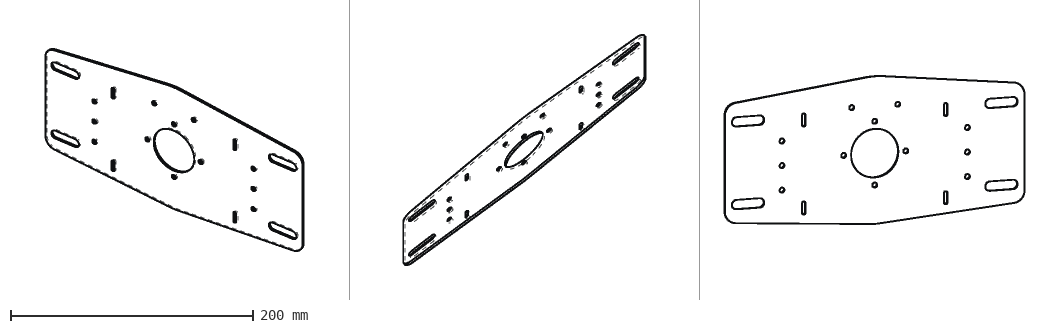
import cadquery as cq

LENGTH = 260.0
THICKNESS = 2.0
TOP_APEX_Z = 65.45
BOTTOM_APEX_Z = -60.0
CORNER_Z = 50.0
CORNER_RADIUS = 10.0
TOP_APEX_RADIUS = 60.0
BOTTOM_APEX_RADIUS = 40.0

SCREW_HOLE_DIAMETER = 4.2

BORE_DIAMETER = 41.1
RING_RADIUS = 27.0
RING_HOLE_COUNT = 4

UPPER_HOLE_X = 20.0
UPPER_HOLE_Z = 40.0

SIDE_CENTRE_Z = -4.75
SIDE_HOLE_X = 80.5
SIDE_HOLE_PITCH = 20.75
NARROW_SLOT_X = 61.6
NARROW_SLOT_SPACING = 74.5
NARROW_SLOT_LENGTH = 11.0
NARROW_SLOT_WIDTH = 3.0

END_SLOT_X = 110.0
END_SLOT_Z = 35.0
END_SLOT_LENGTH = 28.0
END_SLOT_WIDTH = 8.0


def back_plane():
    """Workplane on the +Y face: local x is X, local y is Z, normal is -Y."""
    return cq.Workplane("XZ", origin=(0, THICKNESS / 2, 0))


def apex_edge(apex_z):
    """Selector for the through-thickness edge at the apex on the X = 0 line."""
    return cq.selectors.NearestToPointSelector((0, 0, apex_z))


def make_plate():
    """Hexagonal plate with rounded end corners and softly rounded apexes."""
    half = LENGTH / 2
    outline = [
        (-half, -CORNER_Z),
        (0, BOTTOM_APEX_Z),
        (half, -CORNER_Z),
        (half, CORNER_Z),
        (0, TOP_APEX_Z),
        (-half, CORNER_Z),
    ]
    plate = back_plane().polyline(outline).close().extrude(THICKNESS)
    end_corners = plate.edges("|Y").edges("<X or >X")
    plate = end_corners.fillet(CORNER_RADIUS)
    plate = plate.edges(apex_edge(TOP_APEX_Z)).fillet(TOP_APEX_RADIUS)
    return plate.edges(apex_edge(BOTTOM_APEX_Z)).fillet(BOTTOM_APEX_RADIUS)


def hole_cutter(points, diameter):
    return back_plane().pushPoints(points).circle(diameter / 2).extrude(THICKNESS)


def slot_cutter(points, length, width, angle=0):
    return back_plane().pushPoints(points).slot2D(length, width, angle).extrude(THICKNESS)


def mirrored(x, heights):
    """Points at +x and -x for every height."""
    return [(side * x, z) for side in (-1, 1) for z in heights]


def bore_cutters():
    ring = (
        back_plane()
        .polarArray(RING_RADIUS, 0, 360, RING_HOLE_COUNT)
        .circle(SCREW_HOLE_DIAMETER / 2)
        .extrude(THICKNESS)
    )
    return [hole_cutter([(0, 0)], BORE_DIAMETER), ring]


def upper_hole_cutter():
    return hole_cutter(mirrored(UPPER_HOLE_X, [UPPER_HOLE_Z]), SCREW_HOLE_DIAMETER)


def side_hole_cutter():
    heights = [SIDE_CENTRE_Z + step * SIDE_HOLE_PITCH for step in (-1, 0, 1)]
    return hole_cutter(mirrored(SIDE_HOLE_X, heights), SCREW_HOLE_DIAMETER)


def narrow_slot_cutter():
    heights = [SIDE_CENTRE_Z + side * NARROW_SLOT_SPACING / 2 for side in (-1, 1)]
    points = mirrored(NARROW_SLOT_X, heights)
    return slot_cutter(points, NARROW_SLOT_LENGTH, NARROW_SLOT_WIDTH, angle=90)


def end_slot_cutter():
    points = mirrored(END_SLOT_X, [-END_SLOT_Z, END_SLOT_Z])
    return slot_cutter(points, END_SLOT_LENGTH, END_SLOT_WIDTH)


result = make_plate()
for cutter in bore_cutters():
    result = result.cut(cutter)
result = result.cut(upper_hole_cutter())
result = result.cut(side_hole_cutter())
result = result.cut(narrow_slot_cutter())
result = result.cut(end_slot_cutter())